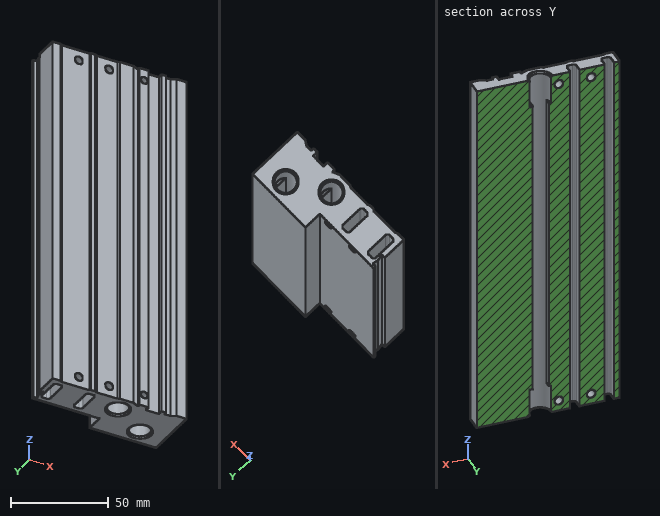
import cadquery as cq
import math

width = 79.0
depth = 32.0
length = 205.0

step_x = 39.8
low_depth = 21.7

side_groove_low = 13.7
side_groove_high = 20.3
side_groove_depth = 2.0
side_groove_ridge_depth = 1.5

relief_depth = 0.6
relief_1 = (4.5, 5.7, 22.0, 22.5)
relief_2 = (25.0, 26.5, 38.5, 39.8)
step_recess_depth = 1.6
ramp_start = 47.5
ramp_end = 51.2
slot_left = 56.5
slot_right = 64.2
slot_depth = 2.9
recess_left = 66.8
recess_floor_end = 70.3
recess_right = 73.0

channel_width = 5.1
channel_height = 14.8
channel_radius = 1.5
channel_y = 11.0
channel_xs = (5.7, 24.8)

bore_centers = ((43.9, 9.5), (64.2, 22.5))
bore_diameter = 11.5
port_depth = 16.5
chamfer_diameter = 13.3
passage_left = 4.7
passage_right = 4.0

through_diameter = 4.5
through_xs = (15.8, 33.6)
through_end_gap = 6.2
blind_diameter = 3.9
blind_x = 54.0
blind_end_gap = 6.8
blind_depth = 8.2
drill_tip_angle = 118.0


def make_body():
    """Extruded profile with the grooved front and left faces."""
    outline = [(0, 0)]
    for face_start, floor_start, floor_end, face_end in (relief_1, relief_2):
        outline += [
            (face_start, 0),
            (floor_start, relief_depth),
            (floor_end, relief_depth),
            (face_end, 0),
        ]
    outline += [
        (ramp_start, 0),
        (ramp_end, step_recess_depth),
        (ramp_end, 0),
        (slot_left, 0),
        (slot_left, slot_depth),
        (slot_right, slot_depth),
        (slot_right, 0),
        (recess_left, 0),
        (recess_left, step_recess_depth),
        (recess_floor_end, step_recess_depth),
        (recess_right, 0),
        (width, 0),
        (width, depth),
        (step_x, depth),
        (step_x, low_depth),
        (0, low_depth),
        (0, side_groove_high),
        (side_groove_depth, side_groove_high),
        (side_groove_ridge_depth, (side_groove_low + side_groove_high) / 2),
        (side_groove_depth, side_groove_low),
        (0, side_groove_low),
    ]
    return cq.Workplane("XY").polyline(outline).close().extrude(length)


def make_channel(x):
    """Rounded rectangular channel through the whole length."""
    return (
        cq.Workplane("XY")
        .center(x, channel_y)
        .rect(channel_width, channel_height)
        .extrude(length)
        .edges("|Z")
        .fillet(channel_radius)
    )


def make_bore(x, y):
    """Flat-sided passage with a round, chamfered port at each end."""
    bore_radius = bore_diameter / 2
    chamfer = (chamfer_diameter - bore_diameter) / 2
    half_section = [
        (0, 0),
        (bore_radius + chamfer, 0),
        (bore_radius, chamfer),
        (bore_radius, port_depth),
        (0, port_depth),
    ]
    port = cq.Workplane("XZ").polyline(half_section).close().revolve(360, (0, 0), (0, 1))
    passage = cq.Workplane("XY").circle(bore_radius).extrude(length)
    flats = (
        cq.Workplane("XY")
        .center((passage_right - passage_left) / 2, 0)
        .rect(passage_left + passage_right, bore_diameter)
        .extrude(length)
    )
    top_port = port.mirror("XY").translate((0, 0, length))
    return passage.intersect(flats).union(port).union(top_port).translate((x, y, 0))


def make_through_hole(x, z):
    """Round hole from the front face to the back of the low part."""
    return cq.Workplane("XZ").center(x, z).circle(through_diameter / 2).extrude(-low_depth)


def make_blind_hole(x, z):
    """Drilled hole from the front face with a conical bottom."""
    radius = blind_diameter / 2
    tip_height = radius / math.tan(math.radians(drill_tip_angle / 2))
    half_section = [
        (0, 0),
        (radius, 0),
        (radius, blind_depth),
        (0, blind_depth + tip_height),
    ]
    hole = cq.Workplane("XY").polyline(half_section).close().revolve(360, (0, 0), (0, 1))
    return hole.translate((x, 0, z))


result = make_body()
for channel_x in channel_xs:
    result = result.cut(make_channel(channel_x))
for bore_x, bore_y in bore_centers:
    result = result.cut(make_bore(bore_x, bore_y))
for hole_x in through_xs:
    for hole_z in (through_end_gap, length - through_end_gap):
        result = result.cut(make_through_hole(hole_x, hole_z))
for hole_z in (blind_end_gap, length - blind_end_gap):
    result = result.cut(make_blind_hole(blind_x, hole_z))